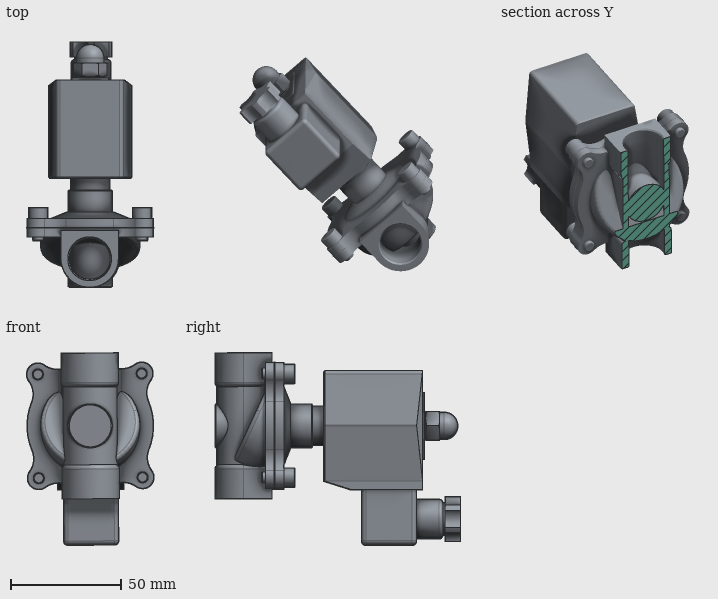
import cadquery as cq
import math

ASSEMBLY_TILT = -0.5

BOLT_PITCH = 47.0
LUG_R = 5.0
FLANGE_R = 28.5
WAIST_R = 10.0
FLANGE_T = 4.0
DIAPHRAGM_T = 0.4
DIAPHRAGM_OVERHANG = 0.2
FLANGE_INNER_Y = DIAPHRAGM_T / 2
FLANGE_OUTER_Y = FLANGE_INNER_Y + FLANGE_T

BOLT_D = 5.0
BOLT_HEAD_D = 8.5
BOLT_HEAD_H = 5.0
BOLT_TIP_L = 1.7
BOLT_EDGE = 0.4

PORT_R = 13.0
PORT_AXIS_Y = -14.0
PORT_HALF_L = 33.0
PORT_BACK_Y = -1.15
PORT_INNER_Z = 17.6
PORT_EDGE_R = 2.0
BORE_D = 18.63
BORE_CHAMFER = 0.6
MID_R = 12.25
WEB_FILLET_R = 2.0
WEB_TOP_Z = 25.4
BOWL_R = 22.6
BOWL_CENTER_Y = -6.5
BOWL_FACE_ANGLE = 25.0
BOWL_FACE_TOP_Z = 15.5
BOWL_EDGE_R = 2.0
BOSS_D = 20.0
BOSS_EDGE = 0.5
BODY_FRONT_Y = PORT_AXIS_Y - PORT_R

CONE_BASE_R = 17.9
CONE_TOP_R = 10.4
CONE_H = 3.0
SLEEVE_D = 20.0
SLEEVE_L = 10.0
SLEEVE_EDGE = 0.5
TUBE_D = 18.0
TUBE_L = 5.0

COIL_Y0 = FLANGE_OUTER_Y + CONE_H + SLEEVE_L + TUBE_L
COIL_L = 44.8
COIL_Y1 = COIL_Y0 + COIL_L
COIL_HALF_H = 25.0
COIL_HALF_W = 18.9
COIL_END_HALF_W = 15.1
COIL_TOP_EDGE_R = 2.0
COIL_SIDE_EDGE_R = 2.0
COIL_FRONT_EDGE = 0.7
COIL_BEVEL_DEPTH = 2.7
COIL_FOOT_H = 4.0
COIL_FOOT_RAMP_L = 12.6
PLATE_W = 16.6
PLATE_H = 30.2
PLATE_T = 0.8

NUT_FLATS = 13.0
NUT_HEX_H = 6.5
NUT_BEARING_D = 12.0
NUT_DOME_D = 12.5
NUT_HEIGHT = 15.2
NUT_WASHER_T = 0.3
NUT_CHAMFER_ANGLE = 30.0
NUT_TOP_CHAMFER = 0.3
NUT_Y0 = COIL_Y1 + PLATE_T

PLUG_SIZE = 25.0
PLUG_EDGE_R = 2.0
PLUG_Y0 = 39.3
PLUG_BOTTOM_Z = -54.05
GLAND_Z = -42.2
GLAND_D = 18.0
GLAND_L = 11.9
GLAND_EDGE_R = 1.7
NECK_D = 15.0
NECK_L = 1.0
KNOB_R = 10.2
KNOB_L = 7.0
KNOB_LOBES = 6
KNOB_LOBE_HALF_ANGLE = 7.5
KNOB_SCALLOP_R = 5.0


def plane_at(y):
    """Workplane across the stem at height y, with local x = X and local y = Z."""
    return cq.Workplane("XZ", origin=(0, y, 0))


def prism(sketch, length):
    """Extrude a sketch made with plane_at towards +Y."""
    return sketch.extrude(-length)


def disc(y, length, diameter, x=0, z=0):
    return prism(plane_at(y).center(x, z).circle(diameter / 2), length)


def polar(center, radius, degrees):
    a = math.radians(degrees)
    return (center[0] + radius * math.cos(a), center[1] + radius * math.sin(a))


def bolt_points():
    half = BOLT_PITCH / 2
    return [(sx * half, sz * half) for sx in (-1, 1) for sz in (-1, 1)]


def flange_plate(y, thickness, grow=0.0):
    """Four-lobed plate: bulged sides, hollow waists and a round lug at each bolt."""
    middle = (0, 0)
    side_r = FLANGE_R + grow
    waist_r = WAIST_R - grow
    lug_r = LUG_R + grow
    lug_dist = BOLT_PITCH / math.sqrt(2)
    to_waist = side_r + waist_r
    lug_to_waist = lug_r + waist_r
    cos_gap = (to_waist**2 + lug_dist**2 - lug_to_waist**2) / (2 * to_waist * lug_dist)
    waist_angle = 45 - math.degrees(math.acos(cos_gap))

    outline = plane_at(y).moveTo(*polar(middle, side_r, -waist_angle))
    for turn in (0, 90, 180, 270):
        lug = polar(middle, lug_dist, turn + 45)
        for along, side in ((turn + waist_angle, 1), (turn + 90 - waist_angle, -1)):
            waist = polar(middle, to_waist, along)
            dx = (waist[0] - lug[0]) / lug_to_waist
            dz = (waist[1] - lug[1]) / lug_to_waist
            on_side = polar(middle, side_r, along)
            on_lug = (lug[0] + lug_r * dx, lug[1] + lug_r * dz)
            chord = ((on_side[0] + on_lug[0]) / 2, (on_side[1] + on_lug[1]) / 2)
            toward = math.degrees(math.atan2(chord[1] - waist[1], chord[0] - waist[0]))
            on_waist = polar(waist, waist_r, toward)
            if side == 1:
                outline = outline.threePointArc(polar(middle, side_r, turn), on_side)
                outline = outline.threePointArc(on_waist, on_lug)
            else:
                outline = outline.threePointArc(polar(lug, lug_r, turn + 45), on_lug)
                outline = outline.threePointArc(on_waist, on_side)
    return prism(outline.close(), thickness)


def d_section(radius, back_y, z0, z1):
    """D-shaped bar along Z: round toward -Y, flat at back_y."""
    return (
        cq.Workplane("XY", origin=(0, 0, z0))
        .moveTo(-radius, back_y)
        .lineTo(-radius, PORT_AXIS_Y)
        .threePointArc((0, PORT_AXIS_Y - radius), (radius, PORT_AXIS_Y))
        .lineTo(radius, back_y)
        .close()
        .extrude(z1 - z0)
    )


def port(sign):
    """Port end block with its inner end rounded where it steps down to the mid section."""
    z0, z1 = sorted((sign * PORT_INNER_Z, sign * PORT_HALF_L))
    block = d_section(PORT_R, PORT_BACK_Y, z0, z1)
    inner = block.faces("<Z" if sign > 0 else ">Z")
    return inner.edges("not(>Y)").fillet(PORT_EDGE_R)


def web_flare():
    """Hollow fillets where the upper mid section meets the flange."""
    root_y = -FLANGE_OUTER_Y
    r = WEB_FILLET_R
    foot_x = MID_R + r
    bend = r * math.sqrt(0.5)
    return (
        cq.Workplane("XY")
        .moveTo(-foot_x, root_y)
        .threePointArc((-foot_x + bend, root_y - r + bend), (-MID_R, root_y - r))
        .lineTo(MID_R, root_y - r)
        .threePointArc((foot_x - bend, root_y - r + bend), (foot_x, root_y))
        .close()
        .extrude(WEB_TOP_Z)
    )


def bowl():
    """Ball-shaped chamber under the flange, cut off by a slanted face with a rounded rim."""
    root_y = -FLANGE_OUTER_Y
    slope = math.tan(math.radians(BOWL_FACE_ANGLE))
    span = 2 * BOWL_R
    behind_face = (
        cq.Workplane("YZ", origin=(-span, 0, 0))
        .moveTo(root_y - (BOWL_FACE_TOP_Z + span) * slope, -span)
        .lineTo(root_y - (BOWL_FACE_TOP_Z - span) * slope, span)
        .lineTo(root_y + span, span)
        .lineTo(root_y + span, -span)
        .close()
        .extrude(2 * span)
    )
    face_direction = cq.Vector(0, -1, slope)
    ball = cq.Workplane("XY", origin=(0, BOWL_CENTER_Y, 0)).sphere(BOWL_R)
    chamber = ball.intersect(behind_face)
    rim = chamber.faces(cq.selectors.ParallelDirSelector(face_direction)).edges()
    chamber = rim.fillet(BOWL_EDGE_R)
    below_flange = prism(plane_at(root_y - span).rect(2 * span, 2 * span), span)
    return chamber.intersect(below_flange)


def boss():
    """Round pillar from the front of the body up to the bowl; it closes off the bore between the ports."""
    length = -FLANGE_OUTER_Y - BODY_FRONT_Y
    return disc(BODY_FRONT_Y, length, BOSS_D).faces("<Y").chamfer(BOSS_EDGE)


def build_body():
    """Ported valve body with its lower flange and the tips of the four bolts."""
    bore_start = (0, PORT_AXIS_Y, -PORT_HALF_L)
    bore = cq.Workplane("XY", origin=bore_start).circle(BORE_D / 2).extrude(2 * PORT_HALF_L)
    body = d_section(MID_R, -FLANGE_OUTER_Y, -PORT_INNER_Z, PORT_INNER_Z)
    body = body.union(web_flare())
    for sign in (-1, 1):
        body = body.union(port(sign))
    body = body.union(flange_plate(-FLANGE_OUTER_Y, FLANGE_T))
    body = body.cut(bore)
    mouths = body.faces("<Z or >Z").edges("%CIRCLE").edges(cq.selectors.RadiusNthSelector(0))
    body = mouths.chamfer(BORE_CHAMFER)
    body = body.union(bowl()).union(boss())
    for x, z in bolt_points():
        tip = disc(-FLANGE_OUTER_Y - BOLT_TIP_L, BOLT_TIP_L, BOLT_D, x, z)
        body = body.union(tip.faces("<Y").chamfer(BOLT_EDGE))
    return body


def build_diaphragm():
    """Thin sheet clamped between the flanges, standing slightly proud of them."""
    return flange_plate(-DIAPHRAGM_T / 2, DIAPHRAGM_T, DIAPHRAGM_OVERHANG)


def build_cover():
    """Upper flange with its bolt heads, cone, sleeve and guide tube."""
    cone_y = FLANGE_OUTER_Y
    sleeve_y = cone_y + CONE_H
    tube_y = sleeve_y + SLEEVE_L
    cone = plane_at(cone_y).circle(CONE_BASE_R).workplane(offset=-CONE_H).circle(CONE_TOP_R).loft()
    sleeve = disc(sleeve_y, SLEEVE_L, SLEEVE_D).faces(">Y").chamfer(SLEEVE_EDGE)
    tube = disc(tube_y, TUBE_L, TUBE_D)
    cover = flange_plate(FLANGE_INNER_Y, FLANGE_T).union(cone).union(sleeve).union(tube)
    for x, z in bolt_points():
        head = disc(FLANGE_OUTER_Y, BOLT_HEAD_H, BOLT_HEAD_D, x, z).faces(">Y").fillet(BOLT_EDGE)
        cover = cover.union(head)
    return cover


def coil_housing():
    """Six-sided block with rounded top edges, side ridges and a bevelled rear end."""
    h = COIL_HALF_H
    outline = [
        (-COIL_END_HALF_W, -h),
        (-COIL_HALF_W, 0),
        (-COIL_END_HALF_W, h),
        (COIL_END_HALF_W, h),
        (COIL_HALF_W, 0),
        (COIL_END_HALF_W, -h),
    ]
    block = prism(plane_at(COIL_Y0).polyline(outline).close(), COIL_L)
    for side in (-1, 1):
        ridge_cut = (
            cq.Workplane("XY", origin=(0, 0, -h))
            .moveTo(side * COIL_END_HALF_W, COIL_Y1)
            .lineTo(side * COIL_HALF_W, COIL_Y1 - COIL_BEVEL_DEPTH)
            .lineTo(side * COIL_HALF_W, COIL_Y1)
            .close()
            .extrude(2 * h)
        )
        block = block.cut(ridge_cut)
    w = COIL_HALF_W
    near_middle = h / 2
    ridges = cq.selectors.BoxSelector((-2 * w, COIL_Y0, -near_middle), (2 * w, COIL_Y1, near_middle))
    block = block.edges("|Y").edges(ridges).fillet(COIL_SIDE_EDGE_R)
    block = block.edges("|Y").edges(">Z").fillet(COIL_TOP_EDGE_R)
    return block.faces("<Y").edges("not(<Z)").chamfer(COIL_FRONT_EDGE)


def coil_foot():
    """Straight foot under the coil, ramped toward the valve."""
    top_z = -COIL_HALF_H
    bottom_z = top_z - COIL_FOOT_H
    return (
        cq.Workplane("YZ", origin=(-COIL_END_HALF_W, 0, 0))
        .moveTo(COIL_Y0, top_z)
        .lineTo(COIL_Y0 + COIL_FOOT_RAMP_L, bottom_z)
        .lineTo(COIL_Y1, bottom_z)
        .lineTo(COIL_Y1, top_z)
        .close()
        .extrude(2 * COIL_END_HALF_W)
    )


def build_coil():
    """Coil housing with its foot and the plate under the nut."""
    plate = prism(plane_at(COIL_Y1).rect(PLATE_W, PLATE_H), PLATE_T)
    return coil_housing().union(coil_foot()).union(plate)


def build_nut():
    """Domed hexagon nut on a thin washer face."""
    corner_d = NUT_FLATS / math.cos(math.radians(30))
    corner_r = corner_d / 2
    bearing_r = NUT_BEARING_D / 2
    dome_r = NUT_DOME_D / 2
    slope = math.tan(math.radians(NUT_CHAMFER_ANGLE))
    hex_base = NUT_Y0 + NUT_WASHER_T
    hex_top = hex_base + NUT_HEX_H
    hexagon = prism(plane_at(hex_base).polygon(6, corner_d), NUT_HEX_H)
    chamfered = (
        cq.Workplane("XY")
        .moveTo(0, hex_base)
        .lineTo(bearing_r, hex_base)
        .lineTo(corner_r, hex_base + (corner_r - bearing_r) * slope)
        .lineTo(corner_r, hex_top - NUT_TOP_CHAMFER)
        .lineTo(corner_r - NUT_TOP_CHAMFER / slope, hex_top)
        .lineTo(0, hex_top)
        .close()
        .revolve(360, (0, 0, 0), (0, 1, 0))
    )
    dome_center = NUT_Y0 + NUT_HEIGHT - dome_r
    neck = disc(hex_top, dome_center - hex_top, NUT_DOME_D)
    dome = cq.Workplane("XY", origin=(0, dome_center, 0)).sphere(dome_r)
    washer = disc(NUT_Y0, NUT_WASHER_T, NUT_BEARING_D)
    return hexagon.intersect(chamfered).union(washer).union(neck).union(dome)


def knob(y):
    """Six-lobed gland nut with hollow scallops between the lobes."""
    center = (0, 0)
    step = 360 / KNOB_LOBES
    half = KNOB_LOBE_HALF_ANGLE
    half_chord = KNOB_R * math.sin(math.radians(step / 2 - half))
    sagitta = KNOB_SCALLOP_R - math.sqrt(KNOB_SCALLOP_R**2 - half_chord**2)
    scallop_floor_r = KNOB_R * math.cos(math.radians(step / 2 - half)) - sagitta
    first = step / 2
    outline = plane_at(y).center(0, GLAND_Z).moveTo(*polar(center, KNOB_R, first - half))
    for i in range(KNOB_LOBES):
        lobe = first + i * step
        outline = outline.threePointArc(polar(center, KNOB_R, lobe), polar(center, KNOB_R, lobe + half))
        next_lobe = polar(center, KNOB_R, lobe + step - half)
        outline = outline.threePointArc(polar(center, scallop_floor_r, lobe + step / 2), next_lobe)
    return prism(outline.close(), KNOB_L)


def build_plug():
    """Rounded connector case hanging under the coil, with its cable gland toward +Y."""
    top_z = -COIL_HALF_H - COIL_FOOT_H
    height = top_z - PLUG_BOTTOM_Z
    case = (
        cq.Workplane("XY", origin=(0, PLUG_Y0 + PLUG_SIZE / 2, PLUG_BOTTOM_Z))
        .rect(PLUG_SIZE, PLUG_SIZE)
        .extrude(height)
        .edges("|Z or <Z")
        .fillet(PLUG_EDGE_R)
    )
    gland_y = PLUG_Y0 + PLUG_SIZE
    neck_y = gland_y + GLAND_L
    gland = disc(gland_y, GLAND_L, GLAND_D, z=GLAND_Z).faces(">Y").edges().fillet(GLAND_EDGE_R)
    neck = disc(neck_y, NECK_L, NECK_D, z=GLAND_Z)
    return case.union(gland).union(neck).union(knob(neck_y + NECK_L))


body = build_body()
diaphragm = build_diaphragm()
cover = build_cover()
coil = build_coil()
nut = build_nut()
plug = build_plug()

parts = [body, diaphragm, cover, coil, nut, plug]
tilted = [part.rotate((0, 0, 0), (0, 1, 0), ASSEMBLY_TILT) for part in parts]
result = cq.Compound.makeCompound([part.val() for part in tilted])